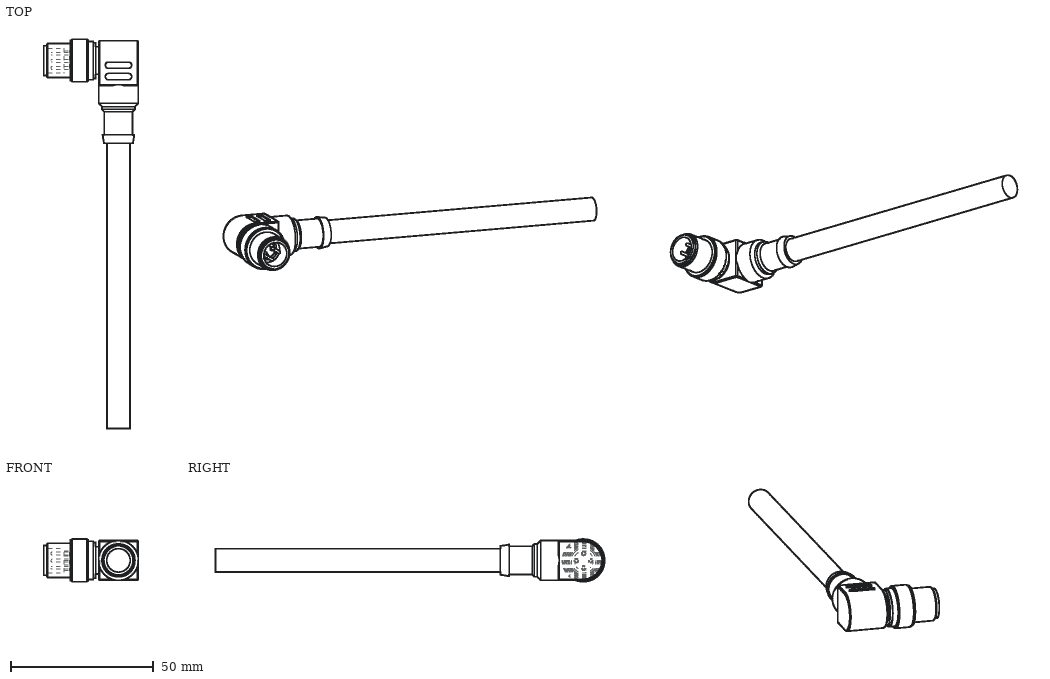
import cadquery as cq


NUT_DIAMETER = 15.0
OVERALL_WIDTH = 33.18
OVERALL_LENGTH = 136.32
CABLE_END_Y = NUT_DIAMETER / 2 - OVERALL_LENGTH

BODY_SIZE = 13.96
BODY_HALF = BODY_SIZE / 2
BODY_FRONT_Y = -8.85
BODY_EDGE_CHAMFER = 0.4

SLOT_LENGTH = 9.2
SLOT_WIDTH = 2.2
SLOT_DEPTH = 0.4
SLOT_CENTERS_Y = (-1.6, -5.6)

PLUG_TIP_X = BODY_HALF - OVERALL_WIDTH
TIP_RADIUS = 5.25
TIP_LENGTH = 1.05
TIP_SHOULDER_X = PLUG_TIP_X + TIP_LENGTH
THREAD_RADIUS = 6.0
THREAD_CHAMFER = 0.45

NUT_RADIUS = NUT_DIAMETER / 2
NUT_FRONT_X = -16.9
NUT_BACK_X = -10.65
NUT_FRONT_LIP_LENGTH = 0.4
NUT_FRONT_CHAMFER_LENGTH = 0.4
NUT_BACK_CHAMFER_LENGTH = 0.4
NUT_CHAMFER_DEPTH = 0.35
COLLAR_RADIUS = 6.75
COLLAR_BACK_X = -8.8
SEAL_RADIUS = 6.3
SEAL_BACK_X = -8.0
NECK_RADIUS = 4.85

MOUTH_RADIUS = 4.3
MOUTH_DEPTH = 7.0
BORE_RADIUS = 3.4
BORE_DEPTH = 9.0
KEY_FLAT_OFFSET = 3.0

PIN_COUNT = 4
PIN_RADIUS = 0.5
PIN_CIRCLE_RADIUS = 2.5
PIN_TIP_RECESS = 2.5
PIN_TIP_FILLET = 0.45
PIN_WELL_RADIUS = 0.8
PIN_WELL_DEPTH = 0.5

OUTLET_RADIUS = BODY_HALF
OUTLET_END_Y = -14.9
RING_RADIUS = 5.8
RING_END_Y = -17.1
SLEEVE_RADIUS = 5.0
BAND_START_Y = -26.0
BAND_END_Y = -29.0
BAND_RADIUS = 5.6
BAND_END_RADIUS = 5.1
CABLE_RADIUS = 4.1


def make_body():
    """Block with a half-round back, its axis along X."""
    block = cq.Workplane("XY").box(
        BODY_SIZE, -BODY_FRONT_Y, BODY_SIZE, centered=(True, False, True)
    )
    block = block.translate((0, BODY_FRONT_Y, 0))
    back = cq.Workplane("YZ").circle(BODY_HALF).extrude(BODY_HALF, both=True)
    body = block.union(back)
    return body.faces("<X or >X or <Y").edges().chamfer(BODY_EDGE_CHAMFER)


def cut_slots(body):
    """Shallow rounded slots in the top face."""
    slots = (
        cq.Workplane("XY", origin=(0, 0, BODY_HALF - SLOT_DEPTH))
        .pushPoints([(0, y) for y in SLOT_CENTERS_Y])
        .slot2D(SLOT_LENGTH, SLOT_WIDTH)
        .extrude(2 * SLOT_DEPTH)
    )
    return body.cut(slots)


def make_plug():
    """Turned plug: tip, thread, coupling nut, collar, seal and neck."""
    nut_lip_x = NUT_FRONT_X + NUT_FRONT_LIP_LENGTH
    nut_edge_radius = NUT_RADIUS - NUT_CHAMFER_DEPTH
    profile = [
        (PLUG_TIP_X, 0),
        (PLUG_TIP_X, TIP_RADIUS),
        (TIP_SHOULDER_X, TIP_RADIUS),
        (TIP_SHOULDER_X, THREAD_RADIUS - THREAD_CHAMFER),
        (TIP_SHOULDER_X + THREAD_CHAMFER, THREAD_RADIUS),
        (NUT_FRONT_X, THREAD_RADIUS),
        (NUT_FRONT_X, nut_edge_radius),
        (nut_lip_x, nut_edge_radius),
        (nut_lip_x + NUT_FRONT_CHAMFER_LENGTH, NUT_RADIUS),
        (NUT_BACK_X - NUT_BACK_CHAMFER_LENGTH, NUT_RADIUS),
        (NUT_BACK_X, nut_edge_radius),
        (NUT_BACK_X, COLLAR_RADIUS),
        (COLLAR_BACK_X, COLLAR_RADIUS),
        (COLLAR_BACK_X, SEAL_RADIUS),
        (SEAL_BACK_X, SEAL_RADIUS),
        (SEAL_BACK_X, NECK_RADIUS),
        (0, NECK_RADIUS),
        (0, 0),
    ]
    return cq.Workplane("XY").polyline(profile).close().revolve(360, (0, 0, 0), (1, 0, 0))


def make_socket():
    """Hollow of the plug: a wide mouth, then a bore flattened on its -Y side by the coding key."""
    tip_plane = cq.Workplane("YZ", origin=(PLUG_TIP_X, 0, 0))
    bore = tip_plane.circle(BORE_RADIUS).extrude(BORE_DEPTH)
    key = (
        cq.Workplane("XY")
        .box(BORE_DEPTH, BORE_RADIUS, 2 * BORE_RADIUS, centered=(False, False, True))
        .translate((PLUG_TIP_X, -KEY_FLAT_OFFSET - BORE_RADIUS, 0))
    )
    mouth = tip_plane.circle(MOUTH_RADIUS).extrude(MOUTH_DEPTH)
    return bore.cut(key).union(mouth)


def pin_centers(x):
    """Workplane across the plug at x, with a point at each pin position."""
    plane = cq.Workplane("YZ", origin=(x, 0, 0))
    return plane.polarArray(PIN_CIRCLE_RADIUS, 0, 360, PIN_COUNT)


def make_pin_wells():
    """Shallow round wells in the socket floor, one around each pin."""
    floor_x = PLUG_TIP_X + BORE_DEPTH
    return pin_centers(floor_x).circle(PIN_WELL_RADIUS).extrude(PIN_WELL_DEPTH)


def make_pins():
    """Round-tipped contact pins, rooted slightly below the floor of their wells."""
    tip_x = PLUG_TIP_X + PIN_TIP_RECESS
    root_depth = PIN_RADIUS
    length = BORE_DEPTH - PIN_TIP_RECESS + PIN_WELL_DEPTH + root_depth
    pins = pin_centers(tip_x).circle(PIN_RADIUS).extrude(length)
    return pins.faces("<X").edges().fillet(PIN_TIP_FILLET)


def make_cable_side():
    """Turned outlet, strain relief and cable along -Y."""
    ring_start_y = OUTLET_END_Y - (OUTLET_RADIUS - RING_RADIUS)
    sleeve_start_y = RING_END_Y - (RING_RADIUS - SLEEVE_RADIUS)
    profile = (
        cq.Workplane("XY")
        .lineTo(OUTLET_RADIUS, 0)
        .lineTo(OUTLET_RADIUS, OUTLET_END_Y)
        .lineTo(RING_RADIUS, ring_start_y)
        .lineTo(RING_RADIUS, RING_END_Y)
        .lineTo(SLEEVE_RADIUS, sleeve_start_y)
        .lineTo(SLEEVE_RADIUS, BAND_START_Y)
        .lineTo(BAND_RADIUS, BAND_START_Y)
        .lineTo(BAND_END_RADIUS, BAND_END_Y)
        .lineTo(CABLE_RADIUS, BAND_END_Y)
        .lineTo(CABLE_RADIUS, CABLE_END_Y)
        .lineTo(0, CABLE_END_Y)
        .close()
    )
    return profile.revolve(360, (0, 0, 0), (0, 1, 0))


shell = make_body().union(make_cable_side())
shell = cut_slots(shell)
plug = make_plug().cut(make_socket()).cut(make_pin_wells()).union(make_pins())
result = shell.union(plug)